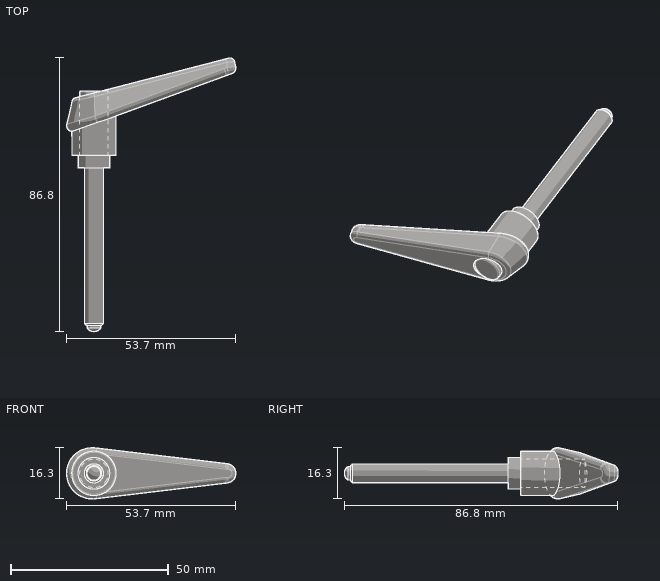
import cadquery as cq
import math


DRAFT_ANGLE = 13.0
DRAFT_BASE_Y = 3.5
DRAFT_TOP_Y = 33.0
HUB_END_RADIUS = 10.15
TIP_END_RADIUS = 8.7
TIP_CENTER_X = 42.0
UPPER_SLOPE = 14.5
UPPER_AXIS_Y = 19.9
LOWER_SLOPE = 20.1
LOWER_AXIS_Y = 10.0
UPPER_FILLET = 1.5
LOWER_FILLET = 1.9
TRIM_START_X = -17.35
TRIM_END_X = 60.75
TRIM_WIDTH = 52.1

HUB_RADIUS = 7.0
HUB_TOP_Y = 13.9
HUB_FILLET = 0.35

SHANK_RADIUS = 4.5
SHANK_TOP_Y = 20.5
SHANK_FILLET = 0.35
COLLAR_RADIUS = 5.0
COLLAR_LENGTH = 3.9
ROD_RADIUS = 3.0
ROD_END_Y = -53.8
ROD_CHAMFER = 0.6
NOSE_RADIUS = 2.2
NOSE_LENGTH = 0.9
DOME_HEIGHT = 1.1


def cylinder(radius, start_y, end_y):
    """Solid cylinder on the spindle axis."""
    circle = cq.Workplane("XZ", origin=(0, start_y, 0)).circle(radius)
    return circle.extrude(start_y - end_y)


def make_drafted_teardrop():
    """Two end arcs joined by their common tangents, narrowing upward along Y."""
    tangent_angle = math.acos((HUB_END_RADIUS - TIP_END_RADIUS) / TIP_CENTER_X)
    cosine = math.cos(tangent_angle)
    sine = math.sin(tangent_angle)
    hub_x = HUB_END_RADIUS * cosine
    hub_z = HUB_END_RADIUS * sine
    tip_x = TIP_CENTER_X + TIP_END_RADIUS * cosine
    tip_z = TIP_END_RADIUS * sine
    base = cq.Plane(origin=(0, DRAFT_BASE_Y, 0), xDir=(1, 0, 0), normal=(0, 1, 0))
    return (
        cq.Workplane(base)
        .moveTo(hub_x, hub_z)
        .threePointArc((-HUB_END_RADIUS, 0), (hub_x, -hub_z))
        .lineTo(tip_x, -tip_z)
        .threePointArc((TIP_CENTER_X + TIP_END_RADIUS, 0), (tip_x, tip_z))
        .close()
        .extrude(DRAFT_TOP_Y - DRAFT_BASE_Y, taper=DRAFT_ANGLE)
    )


def make_trim_wedge():
    """Space between the lower and upper sloping planes."""
    upper = math.tan(math.radians(UPPER_SLOPE))
    lower = math.tan(math.radians(LOWER_SLOPE))
    return (
        cq.Workplane("XY")
        .moveTo(TRIM_START_X, LOWER_AXIS_Y + lower * TRIM_START_X)
        .lineTo(TRIM_END_X, LOWER_AXIS_Y + lower * TRIM_END_X)
        .lineTo(TRIM_END_X, UPPER_AXIS_Y + upper * TRIM_END_X)
        .lineTo(TRIM_START_X, UPPER_AXIS_Y + upper * TRIM_START_X)
        .close()
        .extrude(TRIM_WIDTH / 2, both=True)
    )


def make_arm():
    arm = make_drafted_teardrop().intersect(make_trim_wedge())
    arm = arm.faces("%PLANE").faces("<Y").edges().fillet(LOWER_FILLET)
    upper_angle = math.radians(UPPER_SLOPE)
    upper_normal = cq.Vector(-math.sin(upper_angle), math.cos(upper_angle), 0)
    upper_face = arm.faces("%PLANE").faces(cq.selectors.DirectionMinMaxSelector(upper_normal, True))
    return upper_face.edges().fillet(UPPER_FILLET)


def make_lever():
    """Arm and hub in one piece, bored through for the spindle shank."""
    hub = cylinder(HUB_RADIUS, 0, HUB_TOP_Y).faces("<Y").edges().fillet(HUB_FILLET)
    bore = cylinder(SHANK_RADIUS, 0, DRAFT_TOP_Y)
    return make_arm().union(hub).cut(bore)


def make_spindle():
    """Shank, collar, rod and domed nose, revolved about the Y axis."""
    nose_end_y = ROD_END_Y - NOSE_LENGTH
    dome_radius = (NOSE_RADIUS**2 + DOME_HEIGHT**2) / (2 * DOME_HEIGHT)
    dome_tip_y = nose_end_y - DOME_HEIGHT
    dome_mid_x = NOSE_RADIUS / 2
    dome_mid_y = dome_tip_y + dome_radius - math.sqrt(dome_radius**2 - dome_mid_x**2)
    return (
        cq.Workplane("XY")
        .moveTo(0, SHANK_TOP_Y)
        .lineTo(SHANK_RADIUS, SHANK_TOP_Y)
        .lineTo(SHANK_RADIUS, 0)
        .lineTo(COLLAR_RADIUS, 0)
        .lineTo(COLLAR_RADIUS, -COLLAR_LENGTH)
        .lineTo(ROD_RADIUS, -COLLAR_LENGTH)
        .lineTo(ROD_RADIUS, ROD_END_Y + ROD_CHAMFER)
        .lineTo(ROD_RADIUS - ROD_CHAMFER, ROD_END_Y)
        .lineTo(NOSE_RADIUS, ROD_END_Y)
        .lineTo(NOSE_RADIUS, nose_end_y)
        .threePointArc((dome_mid_x, dome_mid_y), (0, dome_tip_y))
        .close()
        .revolve(360, (0, 0, 0), (0, 1, 0))
        .faces(">Y")
        .edges()
        .fillet(SHANK_FILLET)
    )


lever = make_lever()
spindle = make_spindle()

result = cq.Compound.makeCompound([lever.solids().val(), spindle.val()])